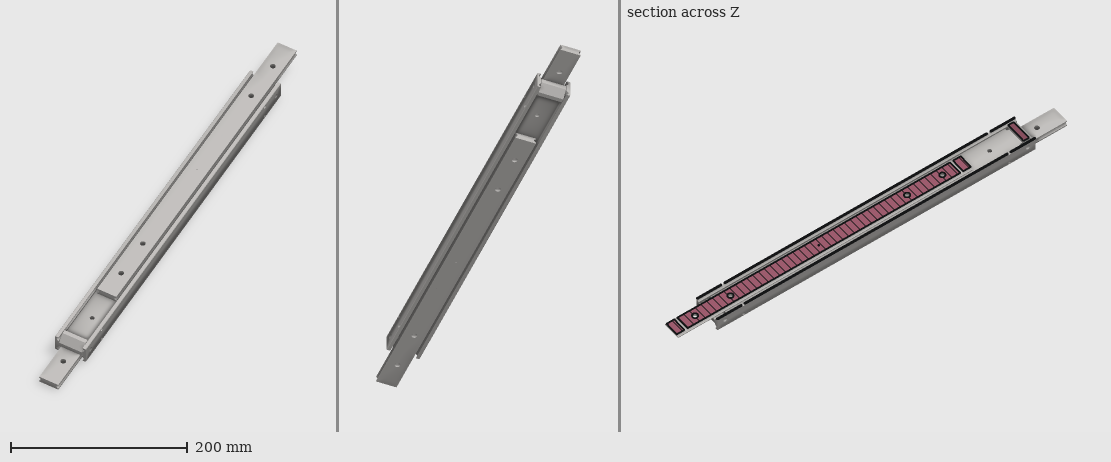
import cadquery as cq

total_length = 550.0
overall_height = 24.0

frame_length = 450.0
frame_width = 40.0
frame_height = 22.0
rail_thickness = 4.5
rail_chamfer = 0.5
web_thickness = 5.5
web_length = 417.0
access_hole_offset = 175.0
access_hole_diameter = 5.5
inner_width = frame_width - 2 * rail_thickness

slider_length = 416.5
slider_width = 25.0
slider_thickness = 8.0
slider_hole_offsets = (125.0, 175.0)
slider_hole_diameter = 6.5
center_hole_diameter = 1.0
slider_pin_inset = 13.0
slider_top = overall_height / 2
slider_center_y = (total_length - slider_length) / 2

groove_height = 7.5
groove_depth = 2.35
groove_half_height = 3.0
groove_bulge = 0.62

pin_hole_diameter = 4.0
rail_pin_offset = 188.0

stop_clearance = 0.75
stop_width = inner_width - 2 * stop_clearance
stop_length = 13.0
ramp_length = 8.0
ledge_length = (frame_length - web_length) / 2 - stop_length
tongue_length = 5.5
screw_diameter = 3.5
screw_inset = 11.0
screw_head_diameter = 5.5
screw_head_depth = 3.5


def box(width, length, height, center):
    return cq.Workplane("XY").box(width, length, height).translate(center)


def cross_cylinder(diameter, y, z):
    """Cylinder along X through the whole width."""
    start = (-frame_width / 2, y, z)
    return cq.Workplane("YZ", origin=start).circle(diameter / 2).extrude(frame_width)


def turned_over(body):
    """The body turned half a turn about X, which swaps both ends and top with bottom."""
    return body.rotate((0, 0, 0), (1, 0, 0), 180)


def gothic_rod(x):
    """Rod along Y at (x, groove_height); each of its four arcs bulges out from its chord."""
    top = (x, groove_height + groove_half_height)
    bottom = (x, groove_height - groove_half_height)
    bulge_x = groove_bulge * groove_depth
    bulge_z = groove_bulge * groove_half_height
    return (
        cq.Workplane("XZ")
        .moveTo(*top)
        .threePointArc((x + bulge_x, groove_height + bulge_z), (x + groove_depth, groove_height))
        .threePointArc((x + bulge_x, groove_height - bulge_z), bottom)
        .threePointArc((x - bulge_x, groove_height - bulge_z), (x - groove_depth, groove_height))
        .threePointArc((x - bulge_x, groove_height + bulge_z), top)
        .close()
        .extrude(total_length, both=True)
    )


def groove_cutter(face_x):
    """Pair of rods that cut grooves into the side faces at x = +-face_x."""
    return gothic_rod(-face_x).union(gothic_rod(face_x))


def make_end_stop():
    """Stop at the -Y end: a ramped block with a wedge-shaped ledge and a tongue let into the web."""
    outer_y = -frame_length / 2
    inner_y = outer_y + stop_length
    web_half = web_thickness / 2
    profile = [
        (outer_y, -web_half),
        (outer_y, web_half),
        (outer_y + ramp_length, frame_height / 2),
        (inner_y, frame_height / 2),
        (inner_y, 0),
        (inner_y + ledge_length, 0),
        (inner_y, -web_half),
    ]
    block = cq.Workplane("YZ").polyline(profile).close().extrude(stop_width / 2, both=True)
    tongue_center = (0, inner_y + tongue_length / 2, web_half / 2)
    return block.union(box(slider_width, tongue_length, web_half, tongue_center))


def make_rail(side):
    """Side rail on the -X (side = -1) or +X (side = 1) edge, with its outer long edges chamfered."""
    x = side * (frame_width - rail_thickness) / 2
    outer_face = ">X" if side > 0 else "<X"
    rail = box(rail_thickness, frame_length, frame_height, (x, 0, 0))
    return rail.faces(outer_face).edges("|Y").chamfer(rail_chamfer)


def screw_hole_cutter(y):
    """Screw hole through both rails, counterbored from each outer face."""
    core_width = frame_width - 2 * screw_head_depth
    head_core = box(core_width, frame_length, frame_height, (0, 0, 0))
    heads = cross_cylinder(screw_head_diameter, y, 0).cut(head_core)
    return cross_cylinder(screw_diameter, y, 0).union(heads)


def make_frame(end_stops):
    web = box(inner_width, web_length, web_thickness, (0, 0, 0))
    frame = web.union(make_rail(-1)).union(make_rail(1))

    upper_grooves = groove_cutter(inner_width / 2)
    frame = frame.cut(upper_grooves).cut(turned_over(upper_grooves))

    for end in (-1, 1):
        frame = frame.cut(screw_hole_cutter(end * (frame_length / 2 - screw_inset)))
        for z in (-groove_height, groove_height):
            frame = frame.cut(cross_cylinder(pin_hole_diameter, end * rail_pin_offset, z))

    access_holes = (
        cq.Workplane("XY")
        .pushPoints([(0, -access_hole_offset), (0, access_hole_offset)])
        .circle(access_hole_diameter / 2)
        .extrude(web_thickness, both=True)
    )
    frame = frame.cut(access_holes)

    for end_stop in end_stops:
        frame = frame.cut(end_stop)
    return frame


def make_slider():
    """Upper slider, run out toward +Y."""
    center = (0, slider_center_y, slider_top - slider_thickness / 2)
    slider = box(slider_width, slider_length, slider_thickness, center)
    slider = slider.cut(groove_cutter(slider_width / 2))

    hole_points = [(0, end * offset) for end in (-1, 1) for offset in slider_hole_offsets]
    hole_plane = cq.Workplane("XY", origin=(0, slider_center_y, 0))
    mounting_holes = hole_plane.pushPoints(hole_points).circle(slider_hole_diameter / 2).extrude(slider_top)
    center_hole = hole_plane.circle(center_hole_diameter / 2).extrude(slider_top)
    slider = slider.cut(mounting_holes).cut(center_hole)

    for end in (-1, 1):
        y = slider_center_y + end * (slider_length / 2 - slider_pin_inset)
        slider = slider.cut(cross_cylinder(pin_hole_diameter, y, groove_height))
    return slider


front_stop = make_end_stop()
rear_stop = turned_over(front_stop)
frame = make_frame([front_stop, rear_stop])
upper_slider = make_slider()
lower_slider = turned_over(upper_slider)

result = cq.Compound.makeCompound(
    [
        frame.solids().val(),
        front_stop.solids().val(),
        rear_stop.solids().val(),
        upper_slider.solids().val(),
        lower_slider.solids().val(),
    ]
)